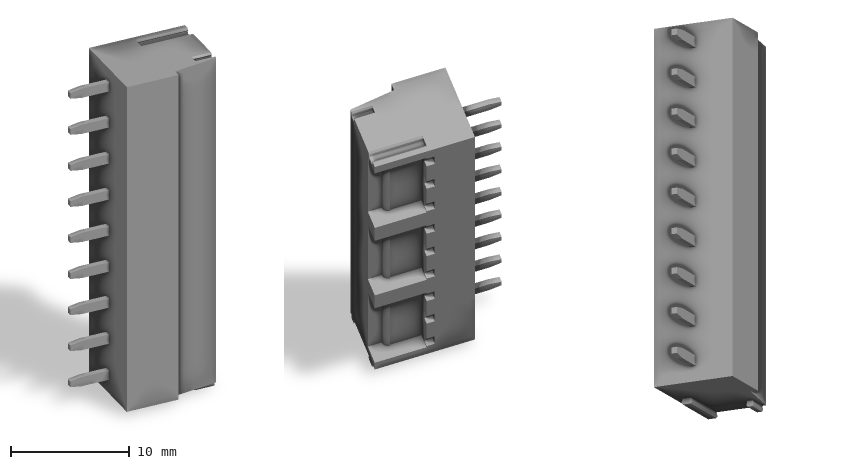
import cadquery as cq

width = 7.4
depth = 8.97
height = 31.55
step_y = depth - 4.15
step_width = 0.67
taper_width = 0.6

pin_count = 9
pin_span = 28.0
pin_pitch = pin_span / (pin_count - 1)
first_pin_z = 1.8
pin_x = width / 2
pin_width = 0.5
pin_height = 0.9
pin_tip_height = 0.55
pin_length = 3.62
pin_tip_length = 1.05
pin_heights = [first_pin_z + i * pin_pitch for i in range(pin_count)]

pins_per_window = 3
window_height = 8.5
window_length = 4.65
window_end_y = depth - window_length
floor_x = 1.28
back_floor_x = 1.73
ridge_radius = 0.55
ridge_x = back_floor_x - ridge_radius
ridge_start_y = depth - 1.25

notch_length = 0.75
notch_depth = 0.58
notch_height = 1.15

rib_height = 0.5
rib_tip_height = 0.15
groove_depth = 0.55
groove_mouth_depth = 0.15
groove_undercut_depth = 0.13
large_rib = {"x": 1.05, "length": 4.85, "neck": 0.77, "wide": 1.03, "mouth": 1.12}
small_rib = {"x": 5.5, "length": 1.85, "neck": 0.48, "wide": 0.67, "mouth": 0.77}


def make_housing():
    back_x = width - step_width - taper_width
    outline = [
        (0, 0),
        (width, 0),
        (width, step_y),
        (width - step_width, step_y),
        (back_x, depth),
        (0, depth),
    ]
    return cq.Workplane("XY").polyline(outline).close().extrude(height)


def make_pin(z):
    half = pin_height / 2
    half_tip = pin_tip_height / 2
    taper_y = pin_tip_length - pin_length
    outline = [
        (window_end_y, z - half),
        (taper_y, z - half),
        (-pin_length, z - half_tip),
        (-pin_length, z + half_tip),
        (taper_y, z + half),
        (window_end_y, z + half),
    ]
    start = cq.Workplane("YZ").workplane(offset=pin_x - pin_width / 2)
    return start.polyline(outline).close().extrude(pin_width)


def make_window(z):
    """Cutter for a window centred on height z."""
    ridge_end_y = ridge_start_y - ridge_radius
    arc_reach = ridge_radius * 0.5 ** 0.5
    return (
        cq.Workplane("XY")
        .workplane(offset=z - window_height / 2)
        .moveTo(0, window_end_y)
        .lineTo(floor_x, window_end_y)
        .lineTo(floor_x, ridge_end_y)
        .lineTo(ridge_x, ridge_end_y)
        .threePointArc(
            (back_floor_x - arc_reach, ridge_end_y + arc_reach),
            (back_floor_x, ridge_start_y),
        )
        .lineTo(back_floor_x, depth)
        .lineTo(0, depth)
        .close()
        .extrude(window_height)
    )


def make_notch(z):
    """Box cutter that extends a window's front end beside the pin at height z."""
    return (
        cq.Workplane("XY")
        .box(notch_depth, notch_length, notch_height, centered=(False, False, True))
        .translate((0, window_end_y - notch_length, z))
    )


def extrude_section(levels, x, length):
    """Symmetric bar along Y, ending at the back face; levels are (width, z) pairs."""
    left = [(x - w / 2, z) for w, z in levels]
    right = [(x + w / 2, z) for w, z in reversed(levels)]
    start = cq.Workplane("XZ").workplane(offset=-depth)
    return start.polyline(left + right).close().extrude(length)


def make_rib(rib):
    """Bar that widens downward from its neck, then narrows at the tip."""
    levels = [
        (rib["neck"], 0),
        (rib["wide"], rib_tip_height - rib_height),
        (rib["neck"], -rib_height),
    ]
    return extrude_section(levels, rib["x"], rib["length"])


def make_groove(rib):
    """Cutter with a flared mouth, widening again below its neck and narrowing to the floor."""
    neck_z = height - groove_mouth_depth
    floor_z = height - groove_depth
    levels = [
        (rib["mouth"], height),
        (rib["neck"], neck_z),
        (rib["wide"], neck_z - groove_undercut_depth),
        (rib["neck"], floor_z),
    ]
    return extrude_section(levels, rib["x"], rib["length"])


result = make_housing()

for window_pin in range(pins_per_window // 2, pin_count, pins_per_window):
    result = result.cut(make_window(pin_heights[window_pin]))

for pin_z in pin_heights:
    result = result.cut(make_notch(pin_z)).union(make_pin(pin_z))

for joint in (large_rib, small_rib):
    result = result.cut(make_groove(joint)).union(make_rib(joint))